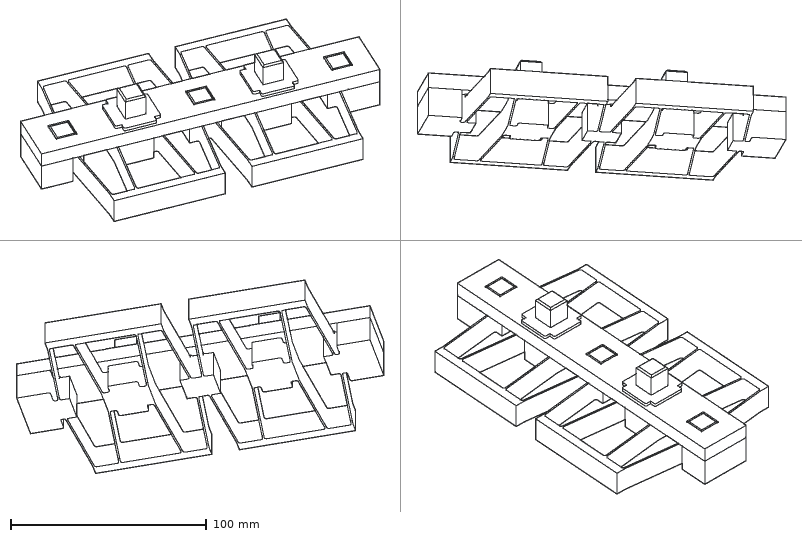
import cadquery as cq
import math

length = 186.7
overall_width = 105.9
overall_height = 37.0
beam_width = 29.0

bar_height = 13.6
fixed_height = 15.1
cover_thickness = 8.0
pad_thickness = 1.7

pitch = 76.0
bar_length = 61.5
bar_thickness = 5.0

flexure_thickness = 1.0
flexure_angle = 6.5
lead_in = 1.7
inner_flexure_offset = 16.6

spine_width = 15.0
spine_end_offset = 29.1
end_block_inner_y = 75.6
stage_width = 24.0
stage_length = 15.9
blend_radius = 1.1

peg_size_x = 11.8
peg_size_y = 11.4
peg_chamfer = 1.0

pad_length_x = 25.5
pad_arm_x = 18.9
pad_length_y = 25.0
pad_arm_y = 18.1
pad_corner_radius = 0.7

module_offset = pitch / 2
bar_inner_x = overall_width / 2 - bar_thickness
spine_face_x = spine_width / 2
flexure_slope = math.tan(math.radians(flexure_angle))
inner_flexure_core_y = inner_flexure_offset - (bar_inner_x - spine_face_x) * flexure_slope
stage_core_length = 2 * inner_flexure_core_y + flexure_thickness
cover_top = fixed_height + cover_thickness
pad_top = cover_top + pad_thickness
module_centers = [-module_offset, module_offset]
peg_centers = [-pitch, 0, pitch]
sides = [-1, 1]
tolerance = 0.002


def block(size_x, size_y, bottom, top, center_y=0.0, center_x=0.0):
    """Upright box centred at (center_x, center_y) between two heights."""
    return (
        cq.Workplane("XY", origin=(center_x, center_y, bottom))
        .rect(size_x, size_y)
        .extrude(top - bottom)
    )


def make_peg(center_y, bottom, top):
    """Nearly square peg with a chamfered top rim."""
    return block(peg_size_x, peg_size_y, bottom, top, center_y).faces(">Z").chamfer(peg_chamfer)


def flexure_strip(points, x_sign, y_sign, center_y):
    """Extrude a flexure outline, mirrored into one quadrant of a module."""
    placed = [(x_sign * x, center_y + y_sign * y) for x, y in points]
    return cq.Workplane("XY").polyline(placed).close().extrude(fixed_height)


def outer_flexure(x_sign, y_sign, center_y):
    """Flexure from the end of a bar out to the fixed spine."""
    bar_end = bar_length / 2
    eased_x = bar_inner_x - lead_in
    eased_y = bar_end + lead_in * flexure_slope / 2
    spine_y = eased_y + (eased_x - spine_face_x) * flexure_slope
    inner_bar_y = eased_y - lead_in * flexure_slope - flexure_thickness
    points = [
        (bar_inner_x, bar_end),
        (eased_x, eased_y),
        (spine_face_x, spine_y),
        (spine_face_x, spine_y - flexure_thickness),
        (bar_inner_x, inner_bar_y),
    ]
    return flexure_strip(points, x_sign, y_sign, center_y)


def inner_flexure(x_sign, y_sign, center_y):
    """Flexure from a bar in to the core of the moving stage."""
    half = flexure_thickness / 2
    points = [
        (bar_inner_x, inner_flexure_offset + half),
        (spine_face_x, inner_flexure_core_y + half),
        (spine_face_x, inner_flexure_core_y - half),
        (bar_inner_x, inner_flexure_offset - half),
    ]
    return flexure_strip(points, x_sign, y_sign, center_y)


def flexure_module(center_y):
    """Two side bars, the moving stage between them, and the eight flexures.

    All stand at the fixed height here; the base then lowers them to the bar height.
    """
    stage = block(stage_width, stage_length, 0, fixed_height, center_y).edges("|Z").fillet(blend_radius)
    module = stage.union(block(spine_width, stage_core_length, 0, fixed_height, center_y))
    for x_sign in sides:
        bar_x = x_sign * (overall_width - bar_thickness) / 2
        module = module.union(block(bar_thickness, bar_length, 0, fixed_height, center_y, bar_x))
        for y_sign in sides:
            module = module.union(inner_flexure(x_sign, y_sign, center_y))
            module = module.union(outer_flexure(x_sign, y_sign, center_y))
    return module


def make_fixed_parts():
    """Fixed spine pieces: one between the modules and one at each end."""
    middle_length = 2 * (module_offset - spine_end_offset)
    parts = block(spine_width, middle_length, 0, fixed_height)
    end_length = length / 2 - module_offset - spine_end_offset
    block_length = length / 2 - end_block_inner_y
    for y_sign in sides:
        spine_y = y_sign * (length - end_length) / 2
        block_y = y_sign * (length - block_length) / 2
        inner_face = "<Y" if y_sign > 0 else ">Y"
        end_block = (
            block(beam_width, block_length, 0, fixed_height, block_y)
            .faces(inner_face)
            .edges("|Z")
            .fillet(blend_radius)
        )
        parts = parts.union(end_block).union(block(spine_width, end_length, 0, fixed_height, spine_y))
    return parts


def is_blended_corner(edge):
    """True for the upright inside corners on the bars, the spine and the stage cores."""
    middle = edge.Center()
    on_bar = math.isclose(abs(middle.x), bar_inner_x, abs_tol=tolerance)
    on_spine = math.isclose(abs(middle.x), spine_face_x, abs_tol=tolerance)
    offset = abs(abs(middle.y) - module_offset)
    plain_offsets = [bar_length / 2, spine_end_offset, stage_core_length / 2]
    is_plain = any(math.isclose(offset, plain, abs_tol=tolerance) for plain in plain_offsets)
    return (on_bar or on_spine) and not is_plain


def moving_part_clearance():
    """Space between the moving parts and the cover, beside the spine and above the stages."""
    inner_x = spine_face_x + blend_radius
    side_width = overall_width / 2 - inner_x
    clearance = cq.Workplane("XY")
    for x_sign in sides:
        side_x = x_sign * (inner_x + side_width / 2)
        clearance = clearance.union(
            block(side_width, 2 * end_block_inner_y, bar_height, fixed_height, 0, side_x)
        )
    for center_y in module_centers:
        clearance = clearance.union(
            block(overall_width, 2 * spine_end_offset, bar_height, fixed_height, center_y)
        )
    return clearance


def make_base():
    """Spine, end blocks and flexure modules in one piece, with pegs standing on the spine."""
    base = make_fixed_parts()
    for center_y in module_centers:
        base = base.union(flexure_module(center_y))
    base = base.edges("|Z").filter(is_blended_corner).fillet(blend_radius)
    base = base.cut(moving_part_clearance())
    for center_y in peg_centers:
        base = base.union(make_peg(center_y, fixed_height, cover_top))
    return base


def make_pad(center_y):
    """Cross-shaped pad with rounded outer corners."""
    along_x = block(pad_length_x, pad_arm_y, cover_top, pad_top, center_y)
    along_y = block(pad_arm_x, pad_length_y, cover_top, pad_top, center_y)
    along_x = along_x.edges("|Z").fillet(pad_corner_radius)
    along_y = along_y.edges("|Z").fillet(pad_corner_radius)
    return along_x.union(along_y)


def make_cover():
    """Flat plate with pads and pegs on top and matching holes for the base pegs."""
    cover = block(beam_width, length, fixed_height, cover_top)
    for center_y in module_centers:
        cover = cover.union(make_pad(center_y)).union(make_peg(center_y, pad_top, overall_height))
    for center_y in peg_centers:
        cover = cover.cut(block(peg_size_x, peg_size_y, fixed_height, cover_top, center_y))
    return cover


base = make_base()
cover = make_cover()
result = cq.Compound.makeCompound([base.val(), cover.val()])